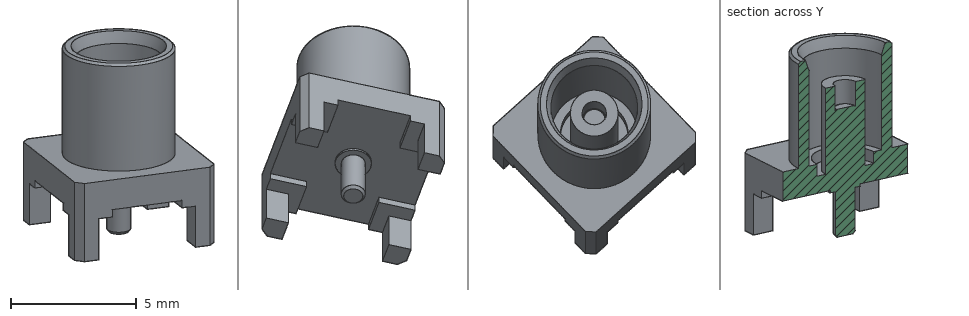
import cadquery as cq

base_width = 6.0
corner_chamfer = 0.3
seat_height = 1.73
underside_height = 2.04
base_top = 3.29
leg_gap = 4.16
underside_slot = 3.0

overall_height = 7.79
shell_diameter = 4.5
shell_chamfer = 0.1
bore_diameter = 3.45
lead_in_diameter = 3.8
lead_in_depth = 0.48
bore_floor = base_top
well_diameter = 2.7
well_depth = 0.5

post_diameter = 1.9
post_recess = 1.365
post_top = overall_height - post_recess

pin_diameter = 0.96
pin_recess = 1.0
pin_top = post_top - pin_recess
pin_top_chamfer = 0.05
pin_end_chamfer_width = 0.1
pin_end_chamfer_height = 0.12
collar_diameter = 1.45
collar_height = 0.1


def cylinder(diameter, bottom, top):
    """Upright cylinder on the Z axis between two heights."""
    return cq.Workplane("XY").workplane(offset=bottom).circle(diameter / 2).extrude(top - bottom)


def underside_channels(width, top):
    """Crossing channels of one width, running through in X and in Y."""
    along_x = cq.Workplane("XY").box(base_width, width, top, centered=(True, True, False))
    along_y = cq.Workplane("XY").box(width, base_width, top, centered=(True, True, False))
    return along_x.union(along_y)


def make_base():
    """Plate with chamfered corners, four legs and stepped pads."""
    block = cq.Workplane("XY").box(base_width, base_width, base_top, centered=(True, True, False))
    block = block.edges("|Z").chamfer(corner_chamfer)
    block = block.cut(underside_channels(leg_gap, seat_height))
    return block.cut(underside_channels(underside_slot, underside_height))


def make_shell():
    """Solid outer cylinder with a chamfered rim."""
    return cylinder(shell_diameter, base_top, overall_height).faces(">Z").edges().chamfer(shell_chamfer)


def make_socket():
    """Space inside the shell: conical lead-in, bore and well."""
    lead_in = (
        cq.Workplane("XY")
        .workplane(offset=overall_height)
        .circle(lead_in_diameter / 2)
        .workplane(offset=-lead_in_depth)
        .circle(bore_diameter / 2)
        .loft(ruled=True)
    )
    bore = cylinder(bore_diameter, bore_floor, overall_height)
    well = cylinder(well_diameter, bore_floor - well_depth, bore_floor)
    return bore.union(well).union(lead_in)


def make_post():
    """Insulator post with a hole that exposes the contact tip."""
    post = cylinder(post_diameter, bore_floor - well_depth, post_top)
    return post.cut(cylinder(pin_diameter, pin_top - pin_top_chamfer, post_top))


def make_pin():
    """Centre contact with bevelled ends and a collar under the plate."""
    radius = pin_diameter / 2
    profile = [
        (0, 0),
        (radius - pin_end_chamfer_width, 0),
        (radius, pin_end_chamfer_height),
        (radius, pin_top - pin_top_chamfer),
        (radius - pin_top_chamfer, pin_top),
        (0, pin_top),
    ]
    pin = cq.Workplane("XZ").polyline(profile).close().revolve(360, (0, 0, 0), (0, 1, 0))
    collar = cylinder(collar_diameter, underside_height - collar_height, underside_height)
    return pin.union(collar)


housing = make_base().union(make_shell()).cut(make_socket())
result = housing.union(make_post()).union(make_pin())